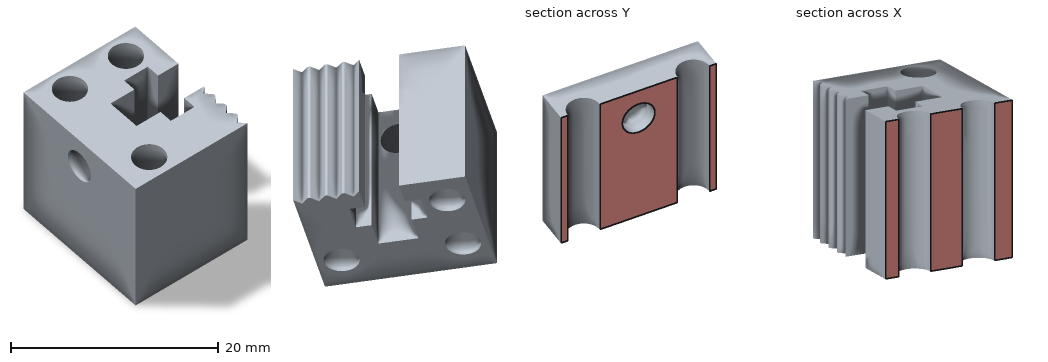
import cadquery as cq

LENGTH = 17.0
WIDTH = 14.0
HEIGHT = 16.0

SLOT_WIDTH = 3.95
SLOT_DEPTH = 8.5
CROSS_WIDTH = 7.07
CROSS_NEAR_DEPTH = 2.55
CROSS_FAR_DEPTH = 5.5

HOLE_DIAMETER = 3.5
HOLE_SIDE_MARGIN = 2.5
FRONT_HOLES_Y = 3.75
HOLE_ROW_SPACING = 7.0
CROSS_HOLE_BELOW_TOP = 3.5

GROOVE_COUNT = 4
TOOTH_FLAT = 0.27

center_x = LENGTH / 2
slot_right_x = center_x + SLOT_WIDTH / 2
serrated_length = LENGTH - slot_right_x
groove_width = (serrated_length - (GROOVE_COUNT - 1) * TOOTH_FLAT) / GROOVE_COUNT
groove_depth = groove_width / 2
groove_pitch = groove_width + TOOTH_FLAT


def slot_section(width, near_depth, far_depth):
    """Full-height rectangular cut between two depths below the back face."""
    return (
        cq.Workplane("XY")
        .box(width, far_depth - near_depth, HEIGHT, centered=(True, False, False))
        .translate((center_x, WIDTH - far_depth, 0))
    )


def groove(left_x):
    """Full-height V groove starting at left_x on the back face."""
    return (
        cq.Workplane("XY")
        .moveTo(left_x, WIDTH)
        .lineTo(left_x + groove_width, WIDTH)
        .lineTo(left_x + groove_width / 2, WIDTH - groove_depth)
        .close()
        .extrude(HEIGHT)
    )


def vertical_holes():
    """Two holes on the left and one at the front right."""
    right_hole_x = LENGTH - HOLE_SIDE_MARGIN
    positions = [
        (HOLE_SIDE_MARGIN, FRONT_HOLES_Y),
        (HOLE_SIDE_MARGIN, FRONT_HOLES_Y + HOLE_ROW_SPACING),
        (right_hole_x, FRONT_HOLES_Y),
    ]
    return (
        cq.Workplane("XY")
        .pushPoints(positions)
        .circle(HOLE_DIAMETER / 2)
        .extrude(HEIGHT)
    )


def cross_hole():
    """Horizontal hole from the front face into the slot."""
    return (
        cq.Workplane("XZ")
        .center(center_x, HEIGHT - CROSS_HOLE_BELOW_TOP)
        .circle(HOLE_DIAMETER / 2)
        .extrude(-WIDTH)
    )


result = cq.Workplane("XY").box(LENGTH, WIDTH, HEIGHT, centered=False)
result = result.cut(slot_section(SLOT_WIDTH, 0, SLOT_DEPTH))
result = result.cut(slot_section(CROSS_WIDTH, CROSS_NEAR_DEPTH, CROSS_FAR_DEPTH))
for index in range(GROOVE_COUNT):
    result = result.cut(groove(slot_right_x + index * groove_pitch))
result = result.cut(vertical_holes())
result = result.cut(cross_hole())